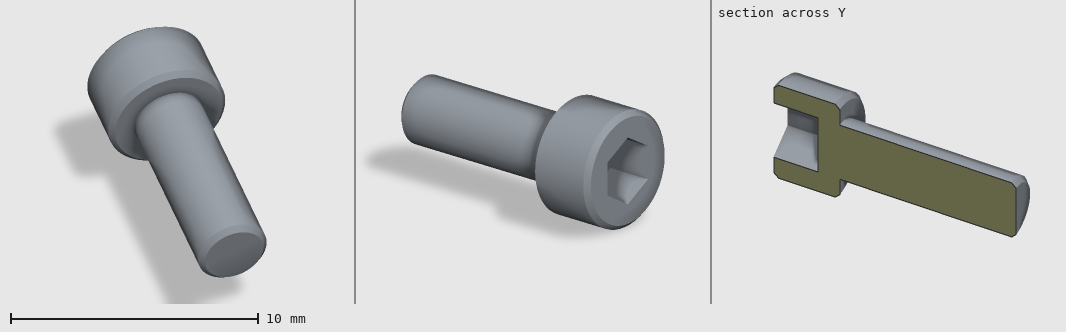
import cadquery as cq
import math

total_length = 11.0
head_length = 3.0
head_diameter = 5.0
shank_diameter = 2.93
head_chamfer = 0.22
tip_chamfer = 0.22
socket_across_flats = 2.5
socket_depth = 2.0


def make_head():
    """Round head with both rims chamfered."""
    return cq.Workplane("YZ").circle(head_diameter / 2).extrude(head_length).edges().chamfer(head_chamfer)


def make_shank():
    """Plain shank from the underside of the head, chamfered at its free end."""
    shank = cq.Workplane("YZ", origin=(head_length, 0, 0)).circle(shank_diameter / 2)
    return shank.extrude(total_length - head_length).faces(">X").chamfer(tip_chamfer)


def make_socket():
    """Hexagonal key socket with corners pointing along Z and flats facing Y."""
    across_corners = socket_across_flats / math.cos(math.pi / 6)
    hexagon = cq.Workplane("YZ").transformed(rotate=(0, 0, 90)).polygon(6, across_corners)
    return hexagon.extrude(socket_depth)


result = make_head().union(make_shank()).cut(make_socket())